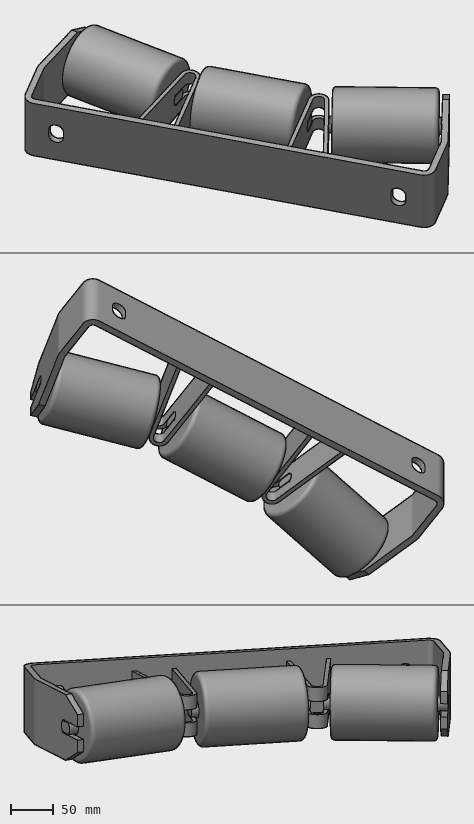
import cadquery as cq
import math

tilt = 15.0

frame_width = 80.0
frame_length = 500.0
frame_thickness = 8.0
corner_radius = 14.0
arm_bend_y = 64.0
arm_bend_radius = 18.0
arm_length = 105.0
arm_chamfer_length = 30.0
arm_chamfer_width = 17.0
mount_slot_width = 18.0
mount_slot_height = 26.0
mount_slot_x = 208.5

roller_length = 125.0
roller_diameter = 89.0
roller_edge_radius = 5.0
shaft_diameter = 20.0
shaft_flat_size = 14.0
roller_gap = 4.0
flat_relief = 1.5
shaft_slot_width = 16.0
arm_shaft_distance = 75.0

bracket_width = 50.0
bracket_thickness = 5.0
crown_radius = 12.0
crown_y = 115.0
shaft_drop = 14.5

half_length = frame_length / 2
shaft_radius = shaft_diameter / 2
support_distance = roller_length / 2 + roller_gap
crown_x = support_distance + crown_radius
tilt_sin = math.sin(math.radians(tilt))
tilt_cos = math.cos(math.radians(tilt))
bend_center = (arm_bend_radius - half_length, arm_bend_y)


def polar(center, radius, angle):
    """Point at a radius and an angle (degrees) from a centre."""
    turn = math.radians(angle)
    return (center[0] + radius * math.cos(turn), center[1] + radius * math.sin(turn))


def left_arm_point(along, inward):
    """Point on the left arm: distance up from the bend, distance in from the outer face."""
    start = polar(bend_center, arm_bend_radius, 180 - tilt)
    return (
        start[0] + along * tilt_sin + inward * tilt_cos,
        start[1] + along * tilt_cos - inward * tilt_sin,
    )


def mirrored(left):
    """The same shape on the +X side."""
    return left.mirror("YZ")


def left_half_strip():
    """Left half of the bent strip, from the middle of the base to the arm tip."""
    corner = (corner_radius - half_length, corner_radius)
    inner_corner = corner_radius - frame_thickness
    inner_bend = arm_bend_radius - frame_thickness
    mid_corner = 225
    mid_bend = 180 - tilt / 2
    outline = (
        cq.Workplane("XY")
        .lineTo(corner[0], 0)
        .threePointArc(polar(corner, corner_radius, mid_corner), (-half_length, corner[1]))
        .lineTo(-half_length, arm_bend_y)
        .threePointArc(polar(bend_center, arm_bend_radius, mid_bend), left_arm_point(0, 0))
        .lineTo(*left_arm_point(arm_length, 0))
        .lineTo(*left_arm_point(arm_length, frame_thickness))
        .lineTo(*left_arm_point(0, frame_thickness))
        .threePointArc(
            polar(bend_center, inner_bend, mid_bend),
            (frame_thickness - half_length, arm_bend_y),
        )
        .lineTo(frame_thickness - half_length, corner[1])
        .threePointArc(polar(corner, inner_corner, mid_corner), (corner[0], frame_thickness))
        .lineTo(0, frame_thickness)
        .close()
    )
    return outline.extrude(frame_width / 2, both=True)


def shaft_slot(plane, reach, depth):
    """Cutter for a slot open at one end, its closed end rounded to the shaft radius.

    The plane has its origin on the shaft axis, x towards the open end and y along global Z.
    """
    half_slot = shaft_slot_width / 2
    seat = -math.sqrt(shaft_radius**2 - half_slot**2)
    return (
        cq.Workplane(plane)
        .moveTo(reach, -half_slot)
        .lineTo(seat, -half_slot)
        .threePointArc((-shaft_radius, 0), (seat, half_slot))
        .lineTo(reach, half_slot)
        .close()
        .extrude(depth)
    )


def left_arm_cuts():
    """Tip chamfers and shaft slot, cut square through the left arm."""
    plane = cq.Plane(
        origin=(*left_arm_point(arm_shaft_distance, 0), 0),
        xDir=(tilt_sin, tilt_cos, 0),
        normal=(tilt_cos, -tilt_sin, 0),
    )
    tip = arm_length - arm_shaft_distance
    half_width = frame_width / 2
    cuts = shaft_slot(plane, tip, frame_thickness)
    for side in (-1, 1):
        chamfer = [
            (tip, side * half_width),
            (tip - arm_chamfer_length, side * half_width),
            (tip, side * (half_width - arm_chamfer_width)),
        ]
        cuts = cuts.union(cq.Workplane(plane).polyline(chamfer).close().extrude(frame_thickness))
    return cuts


def make_frame():
    """Bent strip with open-ended arms and two upright mounting slots through the base."""
    left = left_half_strip().cut(left_arm_cuts())
    frame = left.union(mirrored(left))
    mount_slots = (
        cq.Workplane("XZ")
        .pushPoints([(-mount_slot_x, 0), (mount_slot_x, 0)])
        .slot2D(mount_slot_height, mount_slot_width, 90)
        .extrude(-frame_thickness)
    )
    return frame.cut(mount_slots)


def bracket_slot(outward_angle, up_angle):
    """Shaft slot through one bracket leg and its side of the crown.

    The angles give the outward normal of the leg and the direction up the leg, from +X.
    """
    outward = polar((0, 0), 1, outward_angle)
    up = polar((0, 0), 1, up_angle)
    outer_tangent = polar((-crown_x, crown_y), crown_radius, outward_angle)
    shaft_point = polar(outer_tangent, -shaft_drop, up_angle)
    plane = cq.Plane(
        origin=(*shaft_point, 0),
        xDir=(*up, 0),
        normal=(-outward[0], -outward[1], 0),
    )
    return shaft_slot(plane, shaft_drop + crown_radius, crown_radius)


def make_left_bracket():
    """Folded hairpin: upright leg beside the middle roller, leaning leg beside the outer one."""
    crown = (-crown_x, crown_y)
    inner_radius = crown_radius - bracket_thickness
    lean_angle = 180 - tilt
    mid_angle = lean_angle / 2
    foot_y = frame_thickness

    def leaning_foot(radius):
        top = polar(crown, radius, lean_angle)
        return (top[0] - (top[1] - foot_y) * tilt_sin / tilt_cos, foot_y)

    bracket = (
        cq.Workplane("XY")
        .moveTo(crown[0] + crown_radius, foot_y)
        .lineTo(crown[0] + crown_radius, crown_y)
        .threePointArc(
            polar(crown, crown_radius, mid_angle), polar(crown, crown_radius, lean_angle)
        )
        .lineTo(*leaning_foot(crown_radius))
        .lineTo(*leaning_foot(inner_radius))
        .lineTo(*polar(crown, inner_radius, lean_angle))
        .threePointArc(
            polar(crown, inner_radius, mid_angle), (crown[0] + inner_radius, crown_y)
        )
        .lineTo(crown[0] + inner_radius, foot_y)
        .close()
        .extrude(bracket_width / 2, both=True)
    )
    return bracket.cut(bracket_slot(0, 90)).cut(bracket_slot(lean_angle, lean_angle - 90))


def make_roller(left_support, right_support):
    """Roller along X, centred on the origin, its flatted shaft ends filling the given supports."""
    drum = (
        cq.Workplane("YZ", origin=(-roller_length / 2, 0, 0))
        .circle(roller_diameter / 2)
        .extrude(roller_length)
        .faces("<X or >X")
        .edges()
        .fillet(roller_edge_radius)
    )
    round_half_length = support_distance - flat_relief
    round_shaft = (
        cq.Workplane("YZ", origin=(-round_half_length, 0, 0))
        .circle(shaft_radius)
        .extrude(2 * round_half_length)
    )
    left_end = -support_distance - left_support
    flat_shaft_length = 2 * support_distance + left_support + right_support
    flat_shaft = (
        cq.Workplane("YZ", origin=(left_end, 0, 0))
        .circle(shaft_radius)
        .extrude(flat_shaft_length)
        .intersect(
            cq.Workplane("YZ", origin=(left_end, 0, 0))
            .rect(shaft_diameter, shaft_flat_size)
            .extrude(flat_shaft_length)
        )
    )
    return drum.union(round_shaft).union(flat_shaft)


frame = make_frame()

left_bracket = make_left_bracket()
brackets = [left_bracket, mirrored(left_bracket)]

outer_x, outer_y = left_arm_point(arm_shaft_distance, frame_thickness + support_distance)
left_roller = (
    make_roller(frame_thickness, bracket_thickness)
    .rotate((0, 0, 0), (0, 0, 1), -tilt)
    .translate((outer_x, outer_y, 0))
)
middle_roller = make_roller(bracket_thickness, bracket_thickness).translate(
    (0, crown_y - shaft_drop, 0)
)
rollers = [left_roller, middle_roller, mirrored(left_roller)]

result = cq.Compound.makeCompound(
    [frame.val()] + [body.val() for body in brackets + rollers]
)